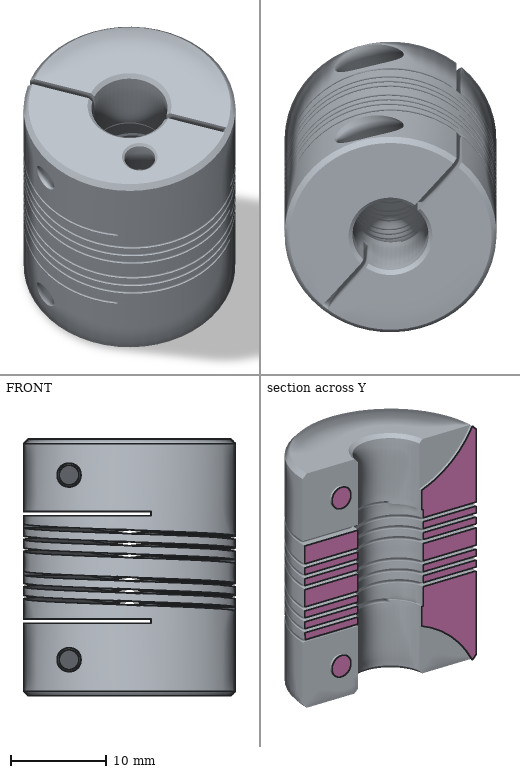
import cadquery as cq
import math


height = 27.0
body_radius = 11.12
rim_chamfer = 0.5
bore_radius = 4.0
bore_chamfer = 0.4
relief_radius = 4.18
relief_height = 11.07

slit_width = 0.4
clamp_slit_z = 5.65
clamp_slit_end_x = 2.25
gap_width = 0.7
saw_radius = 12.0
saw_offset = 5.67

helix_pitch = 2.5
helix_turns = 1.5
helix_group_z = 2.48
starts_per_group = 2
helix_overrun = 0.55

screw_x = -6.35
screw_z = 9.7
screw_diameter = 2.5
screw_tip_y = -4.85
screw_tip_chamfer = 0.22
counterbore_diameter = 5.9
counterbore_floor_y = 4.05

pin_x = 3.15
pin_y = -6.23
pin_radius = 1.62
pin_chamfer = 0.25
pin_depth = 4.05
pin_tip_radius = 0.38
pin_tip_angle = 118.0

half_height = height / 2
clear_length = 2 * body_radius


def y_cylinder(diameter, y_start, y_end):
    """Cylinder on the clamp screw axis of the upper hub."""
    return (
        cq.Workplane("XZ", origin=(screw_x, y_start, screw_z))
        .circle(diameter / 2)
        .extrude(y_start - y_end)
    )


def both_hubs(upper):
    """The upper hub's shape together with its mirror image for the lower hub."""
    return upper.union(upper.mirror("XY"))


def centred_cylinder(radius, length):
    """Cylinder on the Z axis, centred on the mid-height plane."""
    return cq.Workplane("XY", origin=(0, 0, -length / 2)).circle(radius).extrude(length)


def make_body():
    body = centred_cylinder(body_radius, height)
    body = body.faces("<Z or >Z").chamfer(rim_chamfer)
    body = body.cut(centred_cylinder(bore_radius, height))
    body = body.edges(cq.selectors.RadiusNthSelector(0)).chamfer(bore_chamfer)
    return body.cut(centred_cylinder(relief_radius, relief_height))


def make_clamp_cuts():
    """Cross slit and radial gap of the upper hub."""
    slit_length = body_radius + clamp_slit_end_x
    cross_slit = (
        cq.Workplane("XY")
        .box(slit_length, clear_length, slit_width)
        .translate((clamp_slit_end_x - slit_length / 2, 0, clamp_slit_z))
    )
    gap_height = half_height - clamp_slit_z
    open_gap = (
        cq.Workplane("XY", origin=(-body_radius / 2, 0, clamp_slit_z))
        .rect(body_radius, gap_width)
        .extrude(gap_height)
    )
    hinge_gap = (
        cq.Workplane("XZ", origin=(0, 0, half_height + saw_offset))
        .circle(saw_radius)
        .extrude(gap_width / 2, both=True)
    )
    return cross_slit.union(open_gap).union(hinge_gap)


def make_screw_cuts():
    """Through hole and counterbore for the upper clamp screw."""
    hole = y_cylinder(screw_diameter, -clear_length, clear_length)
    counterbore = y_cylinder(counterbore_diameter, counterbore_floor_y, clear_length)
    return hole.union(counterbore)


def make_screw():
    """Headless upper clamp screw, its tip recessed from the -Y side."""
    screw = y_cylinder(screw_diameter, screw_tip_y, counterbore_floor_y)
    return screw.faces("<Y").chamfer(screw_tip_chamfer)


def make_helical_slit():
    """One left-hand slit centred on Z = 0, reaching from inside the bore to outside the body."""
    helix_height = helix_pitch * helix_turns
    inner_radius = bore_radius - helix_overrun
    outer_radius = body_radius + helix_overrun
    mean_radius = (inner_radius + outer_radius) / 2
    path = cq.Wire.makeHelix(helix_pitch, helix_height, mean_radius, lefthand=True)
    return (
        cq.Workplane("XZ", origin=(mean_radius, 0, 0))
        .rect(outer_radius - inner_radius, slit_width)
        .sweep(cq.Workplane(path), isFrenet=True)
        .translate((0, 0, -helix_height / 2))
    )


def make_pin_hole():
    """Chamfered blind hole with a blunt drill-point floor."""
    tip_height = (pin_radius - pin_tip_radius) / math.tan(math.radians(pin_tip_angle / 2))
    profile = [
        (0, 0),
        (pin_radius + pin_chamfer, 0),
        (pin_radius, -pin_chamfer),
        (pin_radius, -pin_depth),
        (pin_tip_radius, -pin_depth - tip_height),
        (0, -pin_depth - tip_height),
    ]
    hole = cq.Workplane("XZ").polyline(profile).close().revolve(360, (0, 0), (0, 1))
    return hole.translate((pin_x, pin_y, half_height))


result = make_body()
result = result.cut(both_hubs(make_clamp_cuts()))
result = result.cut(both_hubs(make_screw_cuts()))
result = result.union(both_hubs(make_screw()))
result = result.cut(make_pin_hole())

helical_slit = make_helical_slit()
for group_z in (-helix_group_z, helix_group_z):
    for start in range(starts_per_group):
        angle = start * 360 / starts_per_group
        turned_slit = helical_slit.rotate((0, 0, 0), (0, 0, 1), angle)
        result = result.cut(turned_slit.translate((0, 0, group_z)))